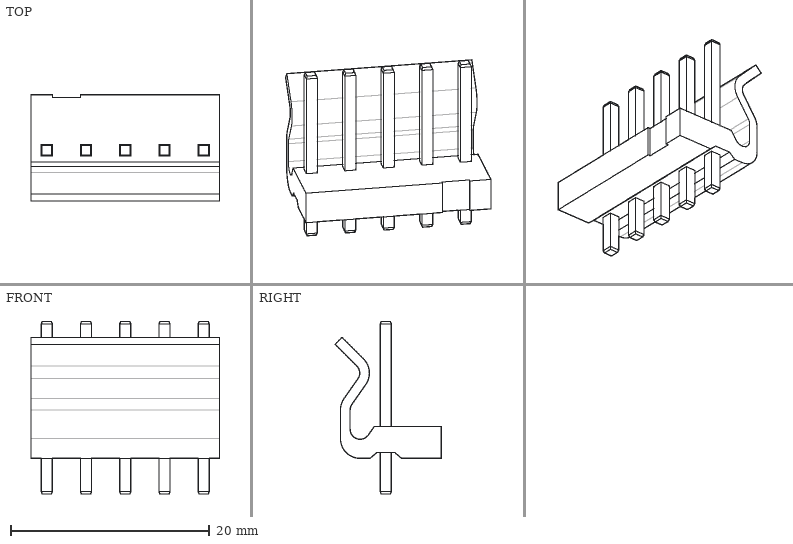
import cadquery as cq
import math

PIN_COUNT = 5
PITCH = 3.96
PIN_SIZE = 1.14
PIN_TOP = 13.84
PIN_LENGTH = 17.45
PIN_TIP_HEIGHT = 0.27
PIN_TIP_INSET = 0.1

HOUSING_WIDTH = 19.04
HOUSING_DEPTH = 10.75
BASE_HEIGHT = 3.23
FRONT_Y = -4.59

STRIP_THICKNESS = 1.0
INNER_RADIUS = 1.0
OUTER_RADIUS = INNER_RADIUS + STRIP_THICKNESS
GROOVE_CENTER_Z = 2.95
LOWER_BEND_Z = 4.9
SLOPE_LENGTH = 2.45
SLOPE_ANGLE = 35.0
ARM_LENGTH = 3.1
ARM_ANGLE = 45.0

RELIEF_DEPTH = 0.58
RELIEF_BOTTOM_WIDTH = 3.2
RELIEF_TOP_WIDTH = 1.84

NOTCH_WIDTH = 2.8
NOTCH_DEPTH = 0.27

FIRST_PIN_X = -PITCH * (PIN_COUNT - 1) / 2


def polar(center, radius, angle):
    """Point at a radius and an angle in degrees, measured from +Y towards +Z."""
    turn = math.radians(angle)
    return (center[0] + radius * math.cos(turn), center[1] + radius * math.sin(turn))


SLOPE_NORMAL = 180 - SLOPE_ANGLE
ARM_NORMAL = 90 - ARM_ANGLE
SLOPE_DIRECTION = 90 - SLOPE_ANGLE
ARM_DIRECTION = 90 + ARM_ANGLE

BEND_Y = FRONT_Y + OUTER_RADIUS
corner_center = (BEND_Y, OUTER_RADIUS)
groove_center = (BEND_Y, GROOVE_CENTER_Z)
lower_center = (BEND_Y, LOWER_BEND_Z)
slope_end = polar(lower_center, OUTER_RADIUS + INNER_RADIUS, SLOPE_NORMAL)
upper_center = polar(slope_end, SLOPE_LENGTH, SLOPE_DIRECTION)

tip_front = polar(polar(upper_center, INNER_RADIUS, ARM_NORMAL), ARM_LENGTH, ARM_DIRECTION)
tip_rear = polar(tip_front, STRIP_THICKNESS, ARM_NORMAL)
REAR_Y = tip_front[0] + HOUSING_DEPTH


def make_housing():
    """Base and latch strip as one profile in the YZ plane, extruded along X."""
    ramp_foot = polar(groove_center, INNER_RADIUS, -SLOPE_ANGLE)
    ramp_rise = BASE_HEIGHT - ramp_foot[1]
    ramp_top = (ramp_foot[0] + ramp_rise * math.tan(math.radians(SLOPE_ANGLE)), BASE_HEIGHT)

    profile = (
        cq.Workplane("YZ")
        .workplane(offset=-HOUSING_WIDTH / 2)
        .moveTo(REAR_Y, 0)
        .lineTo(RELIEF_BOTTOM_WIDTH / 2, 0)
        .lineTo(RELIEF_TOP_WIDTH / 2, RELIEF_DEPTH)
        .lineTo(-RELIEF_TOP_WIDTH / 2, RELIEF_DEPTH)
        .lineTo(-RELIEF_BOTTOM_WIDTH / 2, 0)
        .lineTo(BEND_Y, 0)
        .threePointArc(polar(corner_center, OUTER_RADIUS, 225), (FRONT_Y, OUTER_RADIUS))
        .lineTo(FRONT_Y, LOWER_BEND_Z)
        .threePointArc(
            polar(lower_center, OUTER_RADIUS, (180 + SLOPE_NORMAL) / 2),
            polar(lower_center, OUTER_RADIUS, SLOPE_NORMAL),
        )
        .lineTo(*polar(upper_center, INNER_RADIUS, -SLOPE_ANGLE))
        .threePointArc(
            polar(upper_center, INNER_RADIUS, 0),
            polar(upper_center, INNER_RADIUS, ARM_NORMAL),
        )
        .lineTo(*tip_front)
        .lineTo(*tip_rear)
        .lineTo(*polar(upper_center, OUTER_RADIUS, ARM_NORMAL))
        .threePointArc(
            polar(upper_center, OUTER_RADIUS, 0),
            polar(upper_center, OUTER_RADIUS, -SLOPE_ANGLE),
        )
        .lineTo(*polar(lower_center, INNER_RADIUS, SLOPE_NORMAL))
        .threePointArc(
            polar(lower_center, INNER_RADIUS, (180 + SLOPE_NORMAL) / 2),
            polar(lower_center, INNER_RADIUS, 180),
        )
        .lineTo(*polar(groove_center, INNER_RADIUS, 180))
        .threePointArc(polar(groove_center, INNER_RADIUS, 270), ramp_foot)
        .lineTo(*ramp_top)
        .lineTo(REAR_Y, BASE_HEIGHT)
        .close()
    )
    return profile.extrude(HOUSING_WIDTH)


def make_notch():
    """Shallow cutter through the full height of the rear face."""
    return (
        cq.Workplane("XY")
        .center(FIRST_PIN_X + PITCH / 2, REAR_Y)
        .rect(NOTCH_WIDTH, 2 * NOTCH_DEPTH)
        .extrude(BASE_HEIGHT)
    )


def make_pin(x):
    """Square pin through the base, tapered equally on four sides at both ends."""
    half_length = PIN_LENGTH / 2
    straight_half = half_length - PIN_TIP_HEIGHT
    taper_angle = math.degrees(math.atan(PIN_TIP_INSET / PIN_TIP_HEIGHT))
    shaft = cq.Workplane("XY").box(PIN_SIZE, PIN_SIZE, 2 * straight_half)
    tip = (
        cq.Workplane("XY")
        .workplane(offset=straight_half)
        .rect(PIN_SIZE, PIN_SIZE)
        .extrude(PIN_TIP_HEIGHT, taper=taper_angle)
    )
    pin = shaft.union(tip).union(tip.mirror("XY"))
    return pin.translate((x, 0, PIN_TOP - half_length))


result = make_housing().cut(make_notch())
for index in range(PIN_COUNT):
    result = result.union(make_pin(FIRST_PIN_X + index * PITCH))